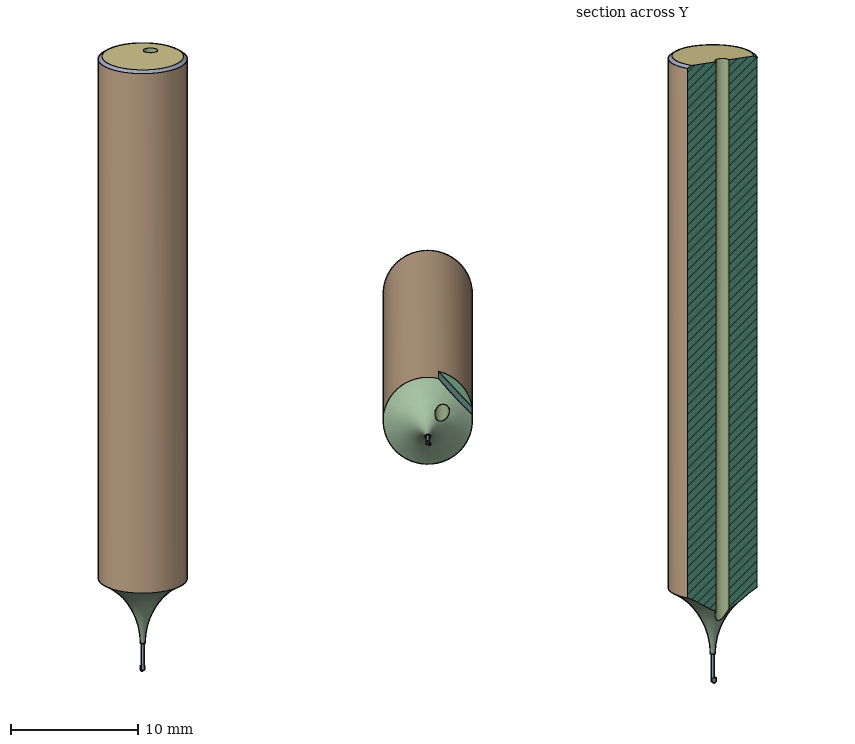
import cadquery as cq

total_length = 51.2
shank_radius = 3.505
shank_bottom = 7.8

bevel_width = 0.3
bevel_height = 0.2

flare_end_radius = 0.2
flare_end = 2.4
flare_radius = 6.05
neck_radius = 0.13

flat_offset = 2.9
flat_top = 10.25

hole_radius = 0.55
hole_offset = 1.55

tooth_reach = 0.25
tooth_height = 0.45
tooth_point_x = -0.075
tooth_shoulder = 0.15


def make_body():
    """Revolve the shank, flare and neck as one profile."""
    profile = (
        cq.Workplane("XZ")
        .moveTo(0, tooth_shoulder)
        .lineTo(neck_radius, tooth_shoulder)
        .lineTo(neck_radius, flare_end)
        .lineTo(flare_end_radius, flare_end)
        .radiusArc((shank_radius, shank_bottom), flare_radius)
        .lineTo(shank_radius, total_length - bevel_height)
        .lineTo(shank_radius - bevel_width, total_length)
        .lineTo(0, total_length)
        .close()
    )
    return profile.revolve(360, (0, 0, 0), (0, 1, 0))


def make_tooth():
    """Pointed tooth on the +Y half of the neck, with its flat face on the axis plane."""
    outline = [
        (neck_radius, tooth_height),
        (-tooth_reach, tooth_height),
        (-tooth_reach, tooth_shoulder),
        (tooth_point_x, 0),
        (neck_radius, tooth_shoulder),
    ]
    return cq.Workplane("XZ").polyline(outline).close().extrude(-neck_radius)


def make_flat_cutter():
    """Block that removes the shank side beyond the flat."""
    width = 2 * shank_radius
    return (
        cq.Workplane("XY")
        .rect(width, width)
        .extrude(flat_top)
        .translate((0, flat_offset + width / 2, 0))
    )


def make_coolant_hole():
    return cq.Workplane("XY").center(0, hole_offset).circle(hole_radius).extrude(total_length)


body = make_body().cut(make_flat_cutter()).cut(make_coolant_hole())
result = body.union(make_tooth())